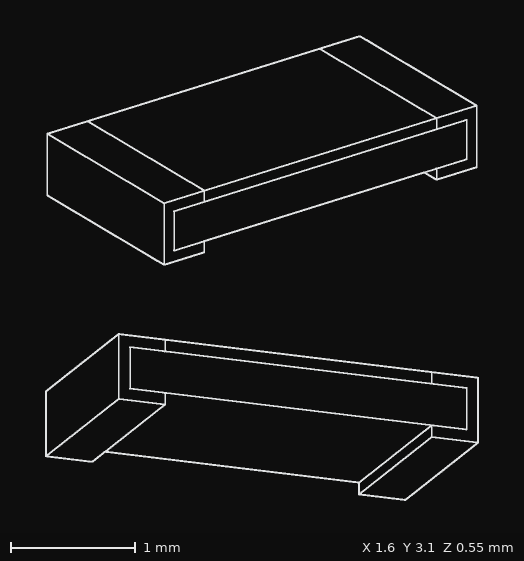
import cadquery as cq

length = 3.1
width = 1.6
height = 0.55
wall = 0.1
terminal_length = 0.4

core_length = length - 2 * wall
core_height = height - 2 * wall
coating_length = length - 2 * terminal_length


def make_block(block_length, block_height, center_y, bottom_z):
    """Full-width block centred on X, standing on bottom_z."""
    return (
        cq.Workplane("XY")
        .box(width, block_length, block_height, centered=(True, True, False))
        .translate((0, center_y, bottom_z))
    )


def make_core():
    """Ceramic core, raised above the terminals' lower legs."""
    return make_block(core_length, core_height, 0, wall)


def make_coating():
    """Protective layer on the core, between the terminals' upper legs."""
    return make_block(coating_length, wall, 0, wall + core_height)


def make_terminal(side):
    """C-shaped end cap at the +Y (side = 1) or -Y (side = -1) end of the core."""
    center_y = side * (length - terminal_length) / 2
    return make_block(terminal_length, height, center_y, 0).cut(make_core())


core = make_core()
coating = make_coating()
terminals = [make_terminal(side) for side in (-1, 1)]

result = cq.Compound.makeCompound(
    [core.val(), coating.val(), *(terminal.val().Solids()[0] for terminal in terminals)]
)